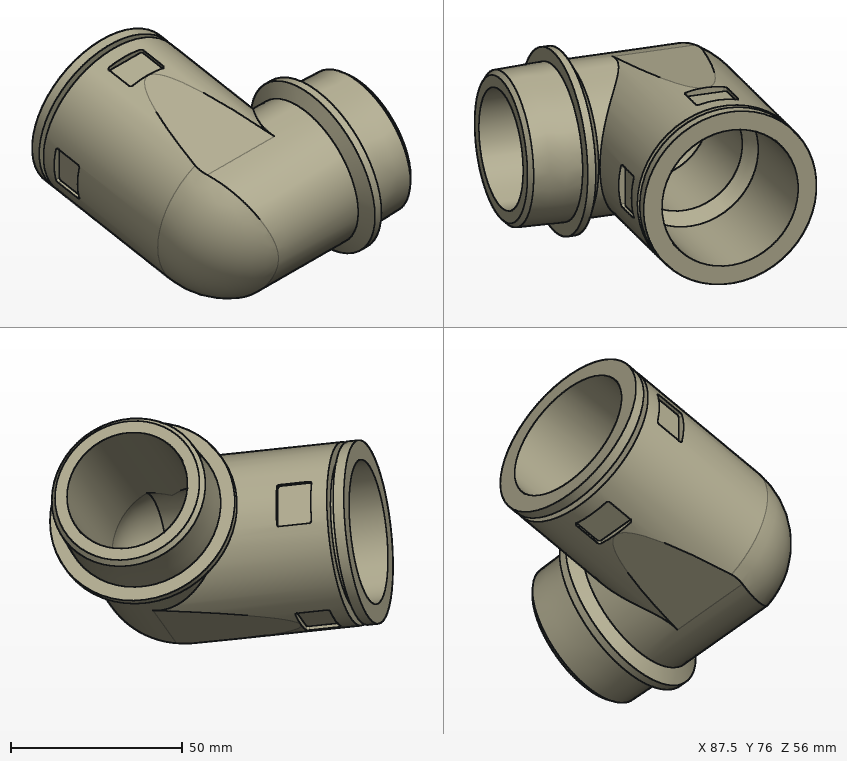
import cadquery as cq
import math


tube_length = 59.5
tube_radius = 54.0 / 2
face_x = -tube_length
groove_radius = 46.0 / 2
groove_offset = 3.25
groove_width = 1.9
taper_angle = math.radians(5.0)
dome_offset = 56.5
dome_depth = 26.7
dome_start = face_x + dome_offset

bore_mouth_radius = 42.5 / 2
bore_socket_depth = 33.0
bore_cone_angle = math.radians(30.0)
bore_radius = 36.5 / 2
bore_cap_depth = 12.25

pocket_offset = 10.0
pocket_length = 10.5
pocket_width = 13.2
pocket_depth = 2.0
pocket_corner_radius = 0.8
pocket_count = 4

branch_length = 49.0
neck_radius = 47.0 / 2
flange_radius = 56.0 / 2
flange_thickness = 2.5
spigot_length = 16.5
flange_slope = math.radians(30.0)
spigot_root_radius = 23.75
spigot_taper = 1.0 / 32
spigot_chamfer = 1.4

tangent_x = neck_radius * math.sin(taper_angle)
tangent_z = neck_radius * math.cos(taper_angle)


def arc_midpoint(start_x, start_radius, pole_x):
    """Point halfway along the arc from (start_x, start_radius) to its pole on the X axis."""
    depth = pole_x - start_x
    sphere_radius = (start_radius**2 + depth**2) / (2 * depth)
    center_x = pole_x - sphere_radius
    half_angle = math.atan2(start_radius, start_x - center_x) / 2
    return (
        center_x + sphere_radius * math.cos(half_angle),
        sphere_radius * math.sin(half_angle),
    )


def revolve_about_x(profile, sweep=360):
    return profile.close().revolve(sweep, (0, 0, 0), (1, 0, 0))


def make_tube():
    """Round tube with one groove, up to where its domed end starts."""
    groove_start = face_x + groove_offset
    groove_end = groove_start + groove_width
    profile = (
        cq.Workplane("XY")
        .moveTo(face_x, 0)
        .lineTo(face_x, tube_radius)
        .lineTo(groove_start, tube_radius)
        .lineTo(groove_start, groove_radius)
        .lineTo(groove_end, groove_radius)
        .lineTo(groove_end, tube_radius)
        .lineTo(dome_start, tube_radius)
        .lineTo(dome_start, 0)
    )
    return revolve_about_x(profile)


def make_tube_end():
    """Half dome on the -Y side, and a short straight half tube running into the branch on +Y."""
    pole_x = dome_start + dome_depth
    dome = (
        cq.Workplane("XZ")
        .moveTo(dome_start, 0)
        .lineTo(dome_start, tube_radius)
        .threePointArc(arc_midpoint(dome_start, tube_radius, pole_x), (pole_x, 0))
    )
    straight = (
        cq.Workplane("XZ")
        .moveTo(dome_start, 0)
        .lineTo(dome_start, -tube_radius)
        .lineTo(tangent_x, -tube_radius)
        .lineTo(tangent_x, 0)
    )
    return revolve_about_x(dome, 180).union(revolve_about_x(straight, 180))


def make_envelope():
    """Side outline of the elbow: two sloped planes tangent to the branch cylinder."""
    face_z = tangent_z + (tangent_x - face_x) * math.tan(taper_angle)
    return (
        cq.Workplane("XZ")
        .moveTo(face_x, -face_z)
        .lineTo(face_x, face_z)
        .lineTo(tangent_x, tangent_z)
        .threePointArc((neck_radius, 0), (tangent_x, -tangent_z))
        .close()
        .extrude(2 * tube_radius, both=True)
    )


def make_branch():
    """Neck, flange with a sloped underside, and tapered spigot with a chamfered tip."""
    flange_top = branch_length - spigot_length
    flange_bottom = flange_top - flange_thickness
    slope_start = flange_bottom - (flange_radius - neck_radius) * math.tan(flange_slope)
    chamfer_start = branch_length - spigot_chamfer
    spigot_tip_radius = spigot_root_radius - spigot_taper * (chamfer_start - flange_top)
    outline = [
        (0, 0),
        (neck_radius, 0),
        (neck_radius, slope_start),
        (flange_radius, flange_bottom),
        (flange_radius, flange_top),
        (spigot_root_radius, flange_top),
        (spigot_tip_radius, chamfer_start),
        (spigot_tip_radius - spigot_chamfer, branch_length),
        (0, branch_length),
    ]
    return cq.Workplane("XY").polyline(outline).close().revolve(360, (0, 0, 0), (0, 1, 0))


def make_tube_bore():
    """Stepped bore whose spherical end touches the far side of the branch bore."""
    cone_start = face_x + bore_socket_depth
    cone_end = cone_start + (bore_mouth_radius - bore_radius) / math.tan(bore_cone_angle)
    cap_start = bore_radius - bore_cap_depth
    profile = (
        cq.Workplane("XY")
        .moveTo(face_x, 0)
        .lineTo(face_x, bore_mouth_radius)
        .lineTo(cone_start, bore_mouth_radius)
        .lineTo(cone_end, bore_radius)
        .lineTo(cap_start, bore_radius)
        .threePointArc(arc_midpoint(cap_start, bore_radius, bore_radius), (bore_radius, 0))
    )
    return revolve_about_x(profile)


def make_branch_bore():
    return cq.Workplane("XZ").circle(bore_radius).extrude(-branch_length)


def make_pocket(angle):
    """Flat-floored rectangular cutter on the +Z side, turned about the tube axis."""
    center_x = face_x + pocket_offset + pocket_length / 2
    return (
        cq.Workplane("XY")
        .workplane(offset=tube_radius - pocket_depth)
        .center(center_x, 0)
        .rect(pocket_length, pocket_width)
        .extrude(2 * pocket_depth)
        .edges("|Z")
        .fillet(pocket_corner_radius)
        .rotate((0, 0, 0), (1, 0, 0), angle)
    )


body = make_tube().union(make_tube_end()).intersect(make_envelope()).union(make_branch())
for index in range(pocket_count):
    body = body.cut(make_pocket(index * 360 / pocket_count))
result = body.cut(make_tube_bore()).cut(make_branch_bore())